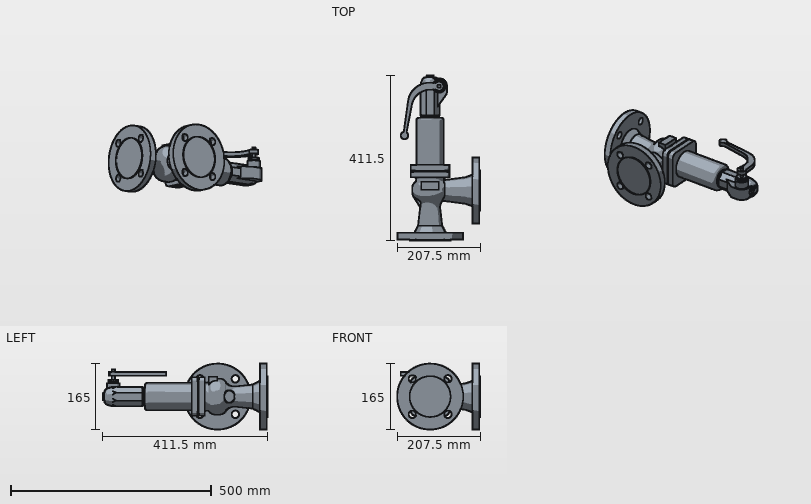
import cadquery as cq
import math


port_face_distance = 125.0
flange_diameter = 165.0
flange_thickness = 20.0
raised_face_diameter = 102.0
raised_face_height = 2.5
bore_diameter = 51.0
bolt_circle_diameter = 125.0
bolt_hole_diameter = 18.0
bolt_count = 4
hub_radius = 39.4
inlet_hub_length = 17.5
inlet_neck_wide_radius = 30.4
inlet_neck_narrow_radius = 25.1
inlet_neck_start = 42.0
outlet_hub_length = 16.5
outlet_neck_wide_radius = 33.4
outlet_neck_narrow_radius = 21.7
outlet_neck_start = 0.0

body_radius = 45.0
body_band_top = 5.5
body_band_bottom = -4.0
bulge_radius = 20.0
collar_radius = 35.0
collar_fillet = 4.5
collar_top = 28.0
collar_flare_radius = 37.7

plate_size = 96.6
plate_corner_radius = 13.0
body_plate_bottom = 32.5
body_plate_top = 46.5
bonnet_plate_bottom = 49.5
bonnet_plate_top = 64.0
spigot_radius = 37.5
gasket_radius = 42.0
gasket_thickness = 1.0

bonnet_radius = 34.5
bonnet_top = 181.4
bonnet_fillet = 7.0
stem_neck_radius = 21.8
stem_ring_radius = 23.3
stem_ring_bottom = 183.3
stem_ring_top = 185.5

cap_sides = 8
cap_flats = 48.5
cap_bottom = 188.0
cap_top = 282.0
cap_top_radius = 13.0
dome_shoulder_y = 274.9
dome_shoulder_radius = 20.5
crown_mid_y = 279.4
crown_mid_radius = 17.3
dome_mid_y = 262.5
dome_mid_radius = 24.3
dome_end_y = 252.5
cap_button_top = 286.5
cap_button_base_radius = 9.8
cap_button_top_radius = 8.5

pivot_x = 22.3
pivot_y = 259.7
pivot_boss_radius = 16.2
pivot_boss_top = 33.2
pivot_collar_radius = 10.0
nut_sides = 6
nut_flats = 24.0
nut_bottom = 36.4
nut_top = 41.8
pin_diameter = 8.5
pin_top = 68.0

ear_thickness = 30.0
ear_outer_radius = 20.0
ear_root_x = 8.0
ear_slope_drop = 1.41
ear_corner_y = 241.6
ear_corner_fillet = 15.0

lever_bottom = 51.7
lever_top = 61.8
lever_eye_radius = 11.2
lever_half_width = 8.6
lever_outer_bend_x = -2.7
lever_outer_bend_radius = 53.0
lever_outer_lean = 8.0
lever_inner_bend_x = 0.5
lever_inner_bend_radius = 46.5
lever_inner_lean = 10.9
knob_x = -63.9
knob_y = 136.9
knob_radius = 9.5
knob_blend_radius = 4.0

pad_width = 44.0
pad_bottom = 1.5
pad_top = 21.8
pad_height = 49.8
drain_radius = 15.6
drain_angle = 32.2
drain_face_x = -32.3
drain_face_y = -29.9
drain_length = 36.0


def disc(radius, bottom, top):
    """Cylinder about the Y axis between two Y levels."""
    return cq.Workplane("XZ", origin=(0, top, 0)).circle(radius).extrude(top - bottom)


def post(radius, bottom, top):
    """Cylinder about the lever pivot axis between two Z levels."""
    return cq.Workplane("XY", origin=(pivot_x, pivot_y, bottom)).circle(radius).extrude(top - bottom)


def make_port(hub_length, wide_radius, narrow_radius, start):
    """Tapered neck with a drilled, raised-face flange, pointing to -Y.

    The blanked bore stays as a separate disc in the flange face.
    """
    face = -port_face_distance
    flange_front = face + raised_face_height
    flange_back = face + flange_thickness
    port = (
        cq.Workplane("XY")
        .moveTo(0, face)
        .lineTo(bore_diameter / 2, face)
        .lineTo(raised_face_diameter / 2, face)
        .lineTo(raised_face_diameter / 2, flange_front)
        .lineTo(flange_diameter / 2, flange_front)
        .lineTo(flange_diameter / 2, flange_back)
        .lineTo(hub_radius, flange_back)
        .lineTo(wide_radius, flange_back + hub_length)
        .lineTo(narrow_radius, -start)
        .lineTo(0, -start)
        .close()
        .revolve(360, (0, 0, 0), (0, 1, 0), clean=False)
    )
    holes = (
        cq.Workplane("XZ", origin=(0, flange_back, 0))
        .polarArray(bolt_circle_diameter / 2, 180 / bolt_count, 360, bolt_count)
        .circle(bolt_hole_diameter / 2)
        .extrude(flange_thickness)
    )
    return port.cut(holes, clean=False)


def bulge_drop(turn):
    """Loss of radius along the bulge arc after it has turned through an angle from the band."""
    return bulge_radius * (1 - math.cos(turn))


def make_body():
    """Bulge that blends through tangent arcs into the collar above and the inlet neck below."""
    upper_radii = bulge_radius + collar_fillet
    upper_turn = math.acos(1 - (body_radius - collar_radius) / upper_radii)
    upper_radius = body_radius - bulge_drop(upper_turn)
    upper_y = body_band_top + bulge_radius * math.sin(upper_turn)
    collar_bottom = body_band_top + upper_radii * math.sin(upper_turn)

    neck_step = body_radius - inlet_neck_narrow_radius
    neck_drop = inlet_neck_start + body_band_bottom
    lower_radii = (neck_step**2 + neck_drop**2) / (2 * neck_step)
    neck_fillet = lower_radii - bulge_radius
    lower_turn = math.acos(1 - neck_step / lower_radii)
    half_turn = lower_turn / 2
    lower_radius = body_radius - bulge_drop(lower_turn)
    lower_y = body_band_bottom - bulge_radius * math.sin(lower_turn)
    lower_mid_radius = body_radius - bulge_drop(half_turn)
    lower_mid_y = body_band_bottom - bulge_radius * math.sin(half_turn)
    neck_mid_radius = inlet_neck_narrow_radius + neck_fillet * (1 - math.cos(half_turn))
    neck_mid_y = neck_fillet * math.sin(half_turn) - inlet_neck_start

    return (
        cq.Workplane("XY")
        .moveTo(body_radius, body_band_bottom)
        .lineTo(body_radius, body_band_top)
        .tangentArcPoint((upper_radius, upper_y), relative=False)
        .tangentArcPoint((collar_radius, collar_bottom), relative=False)
        .lineTo(collar_radius, collar_top)
        .tangentArcPoint((collar_flare_radius, body_plate_bottom), relative=False)
        .lineTo(0, body_plate_bottom)
        .lineTo(0, -inlet_neck_start)
        .lineTo(inlet_neck_narrow_radius, -inlet_neck_start)
        .threePointArc((neck_mid_radius, neck_mid_y), (lower_radius, lower_y))
        .threePointArc((lower_mid_radius, lower_mid_y), (body_radius, body_band_bottom))
        .close()
        .revolve(360, (0, 0, 0), (0, 1, 0))
    )


def make_plate(bottom, top):
    """Square joint plate with rounded corners."""
    return (
        cq.Workplane("XZ", origin=(0, top, 0))
        .rect(plate_size, plate_size)
        .extrude(top - bottom)
        .edges("|Y")
        .fillet(plate_corner_radius)
    )


def make_joint():
    """The two plates with the spigot and gasket between them."""
    spigot = disc(spigot_radius, body_plate_top, bonnet_plate_bottom)
    gasket = disc(gasket_radius, body_plate_top, body_plate_top + gasket_thickness)
    return (
        make_plate(body_plate_bottom, body_plate_top)
        .union(gasket)
        .union(spigot)
        .union(make_plate(bonnet_plate_bottom, bonnet_plate_top))
    )


def make_bonnet():
    """Spring bonnet with a rounded top and the ringed neck that carries the cap."""
    barrel = disc(bonnet_radius, bonnet_plate_top, bonnet_top).faces(">Y").edges().fillet(bonnet_fillet)
    neck = disc(stem_neck_radius, bonnet_top, cap_bottom)
    ring = disc(stem_ring_radius, stem_ring_bottom, stem_ring_top)
    return barrel.union(neck).union(ring)


def make_cap():
    """Octagonal prism trimmed by a two-arc dome, with a small button on top."""
    corner_radius = cap_flats / 2 / math.cos(math.pi / cap_sides)
    prism = (
        cq.Workplane("XZ", origin=(0, cap_top, 0))
        .transformed(rotate=(0, 0, 180 / cap_sides))
        .polygon(cap_sides, 2 * corner_radius)
        .extrude(cap_top - cap_bottom)
    )
    dome = (
        cq.Workplane("XY")
        .moveTo(0, cap_bottom)
        .lineTo(corner_radius, cap_bottom)
        .lineTo(corner_radius, dome_end_y)
        .threePointArc((dome_mid_radius, dome_mid_y), (dome_shoulder_radius, dome_shoulder_y))
        .threePointArc((crown_mid_radius, crown_mid_y), (cap_top_radius, cap_top))
        .lineTo(0, cap_top)
        .close()
        .revolve(360, (0, 0, 0), (0, 1, 0))
    )
    button = (
        cq.Workplane("XY")
        .moveTo(0, cap_top)
        .lineTo(cap_button_base_radius, cap_top)
        .lineTo(cap_button_top_radius, cap_button_top)
        .lineTo(0, cap_button_top)
        .close()
        .revolve(360, (0, 0, 0), (0, 1, 0))
    )
    return prism.intersect(dome).union(button)


def make_ear():
    """Plate beside the cap, rounded concentrically with the pivot and tapering down its outer edge."""
    outer_x = pivot_x + ear_outer_radius
    top_y = pivot_y + ear_outer_radius
    root_y = ear_corner_y - ear_slope_drop * (outer_x - ear_root_x)
    corner = (outer_x, ear_corner_y, 0)
    return (
        cq.Workplane("XY", origin=(0, 0, -ear_thickness / 2))
        .moveTo(ear_root_x, root_y)
        .lineTo(outer_x, ear_corner_y)
        .lineTo(outer_x, pivot_y)
        .radiusArc((pivot_x, top_y), -ear_outer_radius)
        .lineTo(ear_root_x, top_y)
        .close()
        .extrude(ear_thickness)
        .edges(cq.selectors.NearestToPointSelector(corner))
        .fillet(ear_corner_fillet)
    )


def make_pivot():
    """Boss, collar, hexagon nut and pin stacked along the pivot axis."""
    nut = (
        cq.Workplane("XY", origin=(pivot_x, pivot_y, nut_bottom))
        .polygon(nut_sides, nut_flats / math.cos(math.pi / nut_sides))
        .extrude(nut_top - nut_bottom)
    )
    return (
        post(pivot_boss_radius, 0, pivot_boss_top)
        .union(post(pivot_collar_radius, pivot_boss_top, nut_bottom))
        .union(nut)
        .union(post(pin_diameter / 2, nut_top, pin_top))
    )


def bend_end(bend_x, bend_y, bend_radius, lean):
    """Point where a lever bend becomes the straight edge leaning by the given angle from -Y."""
    angle = math.radians(lean)
    return (bend_x - bend_radius * math.cos(angle), bend_y + bend_radius * math.sin(angle))


def edge_at(start, lean, level):
    """Point at a Y level on the straight lever edge that leaves a bend end."""
    return (start[0] - (start[1] - level) * math.tan(math.radians(lean)), level)


def make_lever():
    """Curved lever with an eye on the pivot and a round knob at the free end."""
    thickness = lever_top - lever_bottom
    plane = cq.Workplane("XY", origin=(0, 0, lever_bottom))
    outer_top_y = pivot_y + lever_half_width
    inner_top_y = pivot_y - lever_half_width
    outer_end = bend_end(
        lever_outer_bend_x, outer_top_y - lever_outer_bend_radius, lever_outer_bend_radius, lever_outer_lean
    )
    inner_end = bend_end(
        lever_inner_bend_x, inner_top_y - lever_inner_bend_radius, lever_inner_bend_radius, lever_inner_lean
    )
    arm = (
        plane.moveTo(pivot_x, outer_top_y)
        .lineTo(lever_outer_bend_x, outer_top_y)
        .tangentArcPoint(outer_end, relative=False)
        .lineTo(*edge_at(outer_end, lever_outer_lean, knob_y))
        .lineTo(*edge_at(inner_end, lever_inner_lean, knob_y))
        .lineTo(*inner_end)
        .tangentArcPoint((lever_inner_bend_x, inner_top_y), relative=False)
        .lineTo(pivot_x, inner_top_y)
        .close()
        .extrude(thickness)
    )
    eye = plane.center(pivot_x, pivot_y).circle(lever_eye_radius).extrude(thickness)
    knob = plane.center(knob_x, knob_y).circle(knob_radius).extrude(thickness)
    knob_joint = cq.selectors.BoxSelector(
        (knob_x - knob_radius, knob_y + knob_radius / 2, lever_bottom),
        (knob_x + knob_radius, knob_y + 2 * knob_radius, lever_top),
    )
    return arm.union(eye).union(knob).edges("|Z").edges(knob_joint).fillet(knob_blend_radius)


def make_pad():
    """Flat-topped nameplate pad on the +Z side of the body."""
    return (
        cq.Workplane("XY")
        .center(0, (pad_bottom + pad_top) / 2)
        .rect(pad_width, pad_top - pad_bottom)
        .extrude(pad_height)
    )


def make_drain():
    """Round drain boss facing -X and -Y."""
    angle = math.radians(drain_angle)
    inward = cq.Vector(math.cos(angle), math.sin(angle), 0)
    face = cq.Plane(origin=(drain_face_x, drain_face_y, 0), xDir=(0, 0, 1), normal=inward.toTuple())
    return cq.Workplane(face).circle(drain_radius).extrude(drain_length)


inlet = make_port(inlet_hub_length, inlet_neck_wide_radius, inlet_neck_narrow_radius, inlet_neck_start)
outlet = make_port(
    outlet_hub_length, outlet_neck_wide_radius, outlet_neck_narrow_radius, outlet_neck_start
).rotate((0, 0, 0), (0, 0, 1), 90)

result = make_body()
for piece in (
    inlet,
    outlet,
    make_pad(),
    make_drain(),
    make_joint(),
    make_bonnet(),
    make_cap(),
    make_ear(),
    make_pivot(),
    make_lever(),
):
    result = result.union(piece, clean=False)